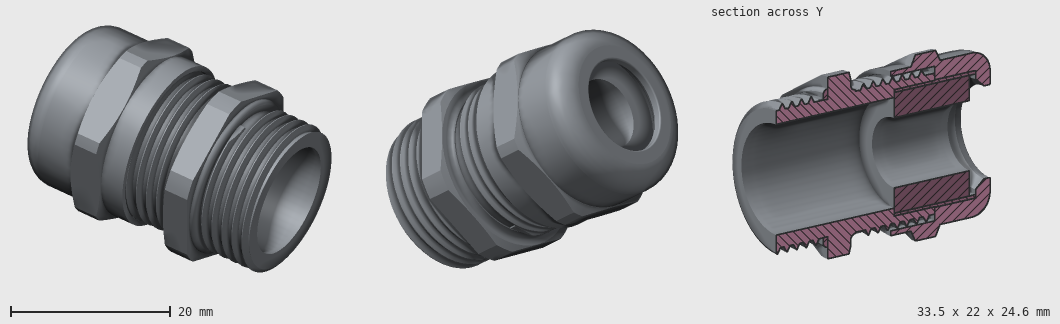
import cadquery as cq
import math

LENGTH = 33.45
ACROSS_FLATS = 22.0

CAP_DIAMETER = 21.75
CAP_END = 15.58
DOME_RADIUS = 2.95
CAP_HEX_START = 7.85
CAP_HEX_END = 12.4
CAP_HEX_CHAMFER = 0.67
CAP_CORNER_DIAMETER = 24.58
CAP_FRONT_CHAMFER_DIAMETER = 21.87
ENTRY_DIAMETER = 12.2
ENTRY_FILLET = 0.2
ENTRY_DEPTH = 1.0
ENTRY_FLARE_DIAMETER = 14.55
CAP_THREAD_CLEARANCE = 0.07

CAGE_START = 2.35
CAGE_DIAMETER = 16.75
CAGE_BORE = 15.85
INSERT_END = 15.05
SEAL_START = 3.28
SEAL_BORE = 9.2

BODY_START = 8.7
BODY_BORE = 14.55
BODY_HEX_START = 21.75
BODY_HEX_END = 25.38
BODY_HEX_CHAMFER = 0.3
BODY_CORNER_DIAMETER = 24.0
BODY_CHAMFER_DIAMETER = 21.95
NECK_DIAMETER = 19.03
NECK_FILLET = 0.67

THREAD_PITCH = 1.5
CREST_WIDTH = 0.1
TOOTH_ROOT_SINK = 0.1
FLANK_HALF_ANGLE = 30.0
RUNOUT_HEIGHT = 0.2
CAP_THREAD_CORE = 18.65
CAP_THREAD_CREST = 20.2
CAP_THREAD_TURNS = 7.0
CAP_THREAD_LAST_CENTRE = 20.53
END_THREAD_CORE = 18.22
END_THREAD_CREST = 19.8
END_THREAD_TURNS = 5.5
END_THREAD_FIRST_CENTRE = 26.45

RING_DIAMETER = 20.95
RING_END = 26.08
RING_DROP = 0.47


def cylinder(diameter, start, end):
    return cq.Workplane("YZ", origin=(start, 0, 0)).circle(diameter / 2).extrude(end - start)


def revolve_about_x(profile):
    """Turn a closed outline, drawn as (X, radius), around the X axis."""
    return profile.close().revolve(360, (0, 0, 0), (1, 0, 0))


def hexagon(start, end):
    """Hexagonal prism with flats on +Y and -Y and corners on +Z and -Z."""
    across_corners = ACROSS_FLATS / math.cos(math.pi / 6)
    prism = cq.Workplane("YZ", origin=(start, 0, 0)).polygon(6, across_corners).extrude(end - start)
    return prism.rotate((0, 0, 0), (1, 0, 0), 30)


def thread_tooth(core, crest, first_centre, turns, start_angle):
    """Tooth that winds along +X from start_angle, measured in degrees from +Y towards +Z."""
    root_radius = core / 2 - TOOTH_ROOT_SINK
    crest_radius = crest / 2
    half_crest = CREST_WIDTH / 2
    flank_run = (crest_radius - root_radius) * math.tan(math.radians(FLANK_HALF_ANGLE))
    half_root = half_crest + flank_run
    path = cq.Wire.makeHelix(THREAD_PITCH, THREAD_PITCH * turns, root_radius)
    tooth = (
        cq.Workplane("XZ")
        .moveTo(root_radius, -half_root)
        .lineTo(crest_radius, -half_crest)
        .lineTo(crest_radius, half_crest)
        .lineTo(root_radius, half_root)
        .close()
        .sweep(cq.Workplane(obj=path), isFrenet=True)
    )
    along_x = tooth.rotate((0, 0, 0), (1, 1, 1), 120)
    return along_x.rotate((0, 0, 0), (1, 0, 0), start_angle).translate((first_centre, 0, 0))


def flatten_tooth_end(tooth, core, crest, centre, side):
    """Trim the half turn at centre to a flat on the +Z (1) or -Z (-1) side of the thread."""
    flat_height = core / 2 + RUNOUT_HEIGHT
    excess = cq.Workplane("XY", origin=(centre, 0, side * (flat_height + crest / 2))).box(
        THREAD_PITCH, crest, crest
    )
    return tooth.cut(excess)


def make_cap_nut():
    radius = CAP_DIAMETER / 2
    dome_side = DOME_RADIUS * math.sqrt(0.5)
    shell = revolve_about_x(
        cq.Workplane("XY")
        .moveTo(0, 0)
        .lineTo(0, radius - DOME_RADIUS)
        .threePointArc(
            (DOME_RADIUS - dome_side, radius - DOME_RADIUS + dome_side),
            (DOME_RADIUS, radius),
        )
        .lineTo(CAP_END, radius)
        .lineTo(CAP_END, 0)
    )
    corner_radius = CAP_CORNER_DIAMETER / 2
    hex_envelope = revolve_about_x(
        cq.Workplane("XY")
        .moveTo(CAP_HEX_START, 0)
        .lineTo(CAP_HEX_START, CAP_FRONT_CHAMFER_DIAMETER / 2)
        .lineTo(CAP_HEX_START + CAP_HEX_CHAMFER, corner_radius)
        .lineTo(CAP_HEX_END - CAP_HEX_CHAMFER, corner_radius)
        .lineTo(CAP_HEX_END, radius)
        .lineTo(CAP_HEX_END, 0)
    )
    entry_radius = ENTRY_DIAMETER / 2
    fillet_side = ENTRY_FILLET * (1 - math.sqrt(0.5))
    cage_radius = CAGE_DIAMETER / 2
    thread_bore_radius = CAP_THREAD_CREST / 2 + CAP_THREAD_CLEARANCE
    cavity = revolve_about_x(
        cq.Workplane("XY")
        .moveTo(0, 0)
        .lineTo(0, entry_radius + ENTRY_FILLET)
        .threePointArc((fillet_side, entry_radius + fillet_side), (ENTRY_FILLET, entry_radius))
        .lineTo(ENTRY_DEPTH, entry_radius)
        .lineTo(CAGE_START, ENTRY_FLARE_DIAMETER / 2)
        .lineTo(CAGE_START, cage_radius)
        .lineTo(BODY_START, cage_radius)
        .lineTo(BODY_START, thread_bore_radius)
        .lineTo(CAP_END, thread_bore_radius)
        .lineTo(CAP_END, 0)
    )
    return shell.union(hexagon(CAP_HEX_START, CAP_HEX_END).intersect(hex_envelope)).cut(cavity)


def make_cage():
    return cylinder(CAGE_DIAMETER, CAGE_START, INSERT_END).cut(cylinder(CAGE_BORE, CAGE_START, INSERT_END))


def make_seal():
    return cylinder(CAGE_BORE, SEAL_START, INSERT_END).cut(cylinder(SEAL_BORE, SEAL_START, INSERT_END))


def make_body():
    neck_radius = NECK_DIAMETER / 2
    neck_start = BODY_HEX_START - NECK_FILLET
    fillet_side = NECK_FILLET * math.sqrt(0.5)
    core = revolve_about_x(
        cq.Workplane("XY")
        .moveTo(BODY_START, 0)
        .lineTo(BODY_START, CAP_THREAD_CORE / 2)
        .lineTo(neck_start, CAP_THREAD_CORE / 2)
        .lineTo(neck_start, neck_radius)
        .threePointArc(
            (neck_start + fillet_side, neck_radius + NECK_FILLET - fillet_side),
            (BODY_HEX_START, neck_radius + NECK_FILLET),
        )
        .lineTo(BODY_HEX_END, neck_radius + NECK_FILLET)
        .lineTo(BODY_HEX_END, END_THREAD_CORE / 2)
        .lineTo(LENGTH, END_THREAD_CORE / 2)
        .lineTo(LENGTH, 0)
    )
    hex_envelope = revolve_about_x(
        cq.Workplane("XY")
        .moveTo(BODY_HEX_START, 0)
        .lineTo(BODY_HEX_START, BODY_CHAMFER_DIAMETER / 2)
        .lineTo(BODY_HEX_START + BODY_HEX_CHAMFER, BODY_CORNER_DIAMETER / 2)
        .lineTo(BODY_HEX_END, BODY_CORNER_DIAMETER / 2)
        .lineTo(BODY_HEX_END, 0)
    )

    cap_tooth = thread_tooth(
        CAP_THREAD_CORE,
        CAP_THREAD_CREST,
        CAP_THREAD_LAST_CENTRE - CAP_THREAD_TURNS * THREAD_PITCH,
        CAP_THREAD_TURNS,
        -90,
    )
    cap_tooth = flatten_tooth_end(
        cap_tooth, CAP_THREAD_CORE, CAP_THREAD_CREST, CAP_THREAD_LAST_CENTRE, -1
    )

    end_tooth = thread_tooth(
        END_THREAD_CORE, END_THREAD_CREST, END_THREAD_FIRST_CENTRE, END_THREAD_TURNS, 90
    )
    end_tooth = flatten_tooth_end(
        end_tooth, END_THREAD_CORE, END_THREAD_CREST, END_THREAD_FIRST_CENTRE, 1
    )
    end_tooth = end_tooth.intersect(cylinder(2 * END_THREAD_CREST, RING_END, LENGTH))

    body = core.union(hexagon(BODY_HEX_START, BODY_HEX_END).intersect(hex_envelope))
    body = body.union(cap_tooth).union(end_tooth)
    body = body.cut(cylinder(CAGE_DIAMETER, BODY_START, INSERT_END))
    return body.cut(cylinder(BODY_BORE, INSERT_END, LENGTH))


def make_sealing_ring():
    """Ring whose outside curves down from the hexagon to its free face."""
    width = RING_END - BODY_HEX_END
    outer_radius = RING_DIAMETER / 2
    inner_radius = END_THREAD_CORE / 2
    arc_radius = (width**2 + RING_DROP**2) / (2 * RING_DROP)
    half_arc_angle = math.asin(width / arc_radius) / 2
    return revolve_about_x(
        cq.Workplane("XY")
        .moveTo(BODY_HEX_END, inner_radius)
        .lineTo(BODY_HEX_END, outer_radius)
        .threePointArc(
            (
                BODY_HEX_END + arc_radius * math.sin(half_arc_angle),
                outer_radius - arc_radius * (1 - math.cos(half_arc_angle)),
            ),
            (RING_END, outer_radius - RING_DROP),
        )
        .lineTo(RING_END, inner_radius)
    )


cap_nut = make_cap_nut()
cage = make_cage()
seal = make_seal()
body = make_body()
sealing_ring = make_sealing_ring()

result = cq.Compound.makeCompound(
    [
        cap_nut.solids().val(),
        cage.solids().val(),
        seal.solids().val(),
        body.solids().val(),
        sealing_ring.solids().val(),
    ]
)